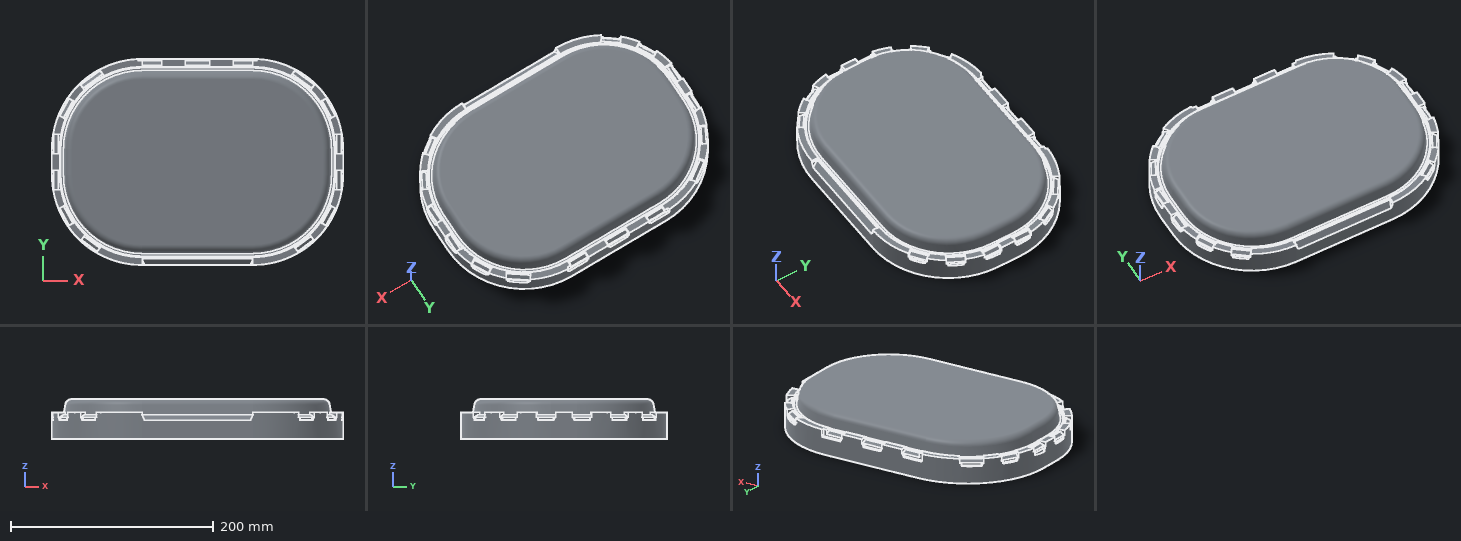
import cadquery as cq
import math

length = 288.0
width = 204.0
height = 39.7
rim_height = 26.5
corner_radius = 89.3
corner_x = length / 2 - corner_radius
corner_y = width / 2 - corner_radius

rim_width = 7.8
groove_floor = 24.2
channel_width = 1.2
channel_floor = 23.0
dome_inset = 11.5
dome_draft = 10.0
dome_edge_radius = 7.0

ramp_top = 24.2
ramp_inset = 6.3
notch_reach = rim_width + channel_width
step_depth = 2.0
step_end_taper = 1.2
step_plan_taper = 1.5
step_side_gap = 1.0
clearance = 5.8
standard_levels = (21.5, 19.0, 18.5)
low_shelf_levels = (22.5, 20.0, 17.3)
narrow_notch_width = 19.3
wide_notch_width = 24.0
low_corner_angle = 28.4
front_corner_angle = 53.3
back_corner_angle = 54.1
side_notch_y = 18.0
back_end_start = 35.5
back_end_step_stop = 59.5

front_recess_top_half = corner_x
front_recess_end_taper = 2.3
front_recess_bottom = 18.7


def rounded_prism(inset, bottom, depth, draft=0.0):
    """Rounded rectangle inset from the outer wall and extruded from the bottom level."""
    outline = cq.Sketch().rect(length - 2 * inset, width - 2 * inset)
    outline = outline.vertices().fillet(corner_radius - inset)
    return cq.Workplane("XY").workplane(offset=bottom).placeSketch(outline).extrude(depth, taper=draft)


def wall_profile(points, span):
    """Extrude an (outward, z) profile along the wall, centred on the local origin."""
    return cq.Workplane("XZ").polyline(points).close().extrude(span / 2, both=True)


def end_taper(bottom_half, bottom, top_half, top):
    """Block that widens from bottom to top along the wall, then rises straight."""
    roof = rim_height + clearance
    points = [
        (-bottom_half, bottom),
        (bottom_half, bottom),
        (top_half, top),
        (top_half, roof),
        (-top_half, roof),
        (-top_half, top),
    ]
    return cq.Workplane("YZ").polyline(points).close().extrude(rim_width + clearance, both=True)


def place_on_wall(cutter, x, y, angle):
    """Turn the local outward direction (+X) to the given angle and move to the wall."""
    return cutter.rotate((0, 0, 0), (0, 0, 1), angle).translate((x, y, 0))


def ramp_cutter(span, end_inset, end_level):
    """Cutter with a short flat lip at the groove, then a ramp falling outward to the end level."""
    roof = rim_height + clearance
    points = [
        (-notch_reach, roof),
        (-notch_reach, ramp_top),
        (-ramp_inset, ramp_top),
        (-end_inset, end_level),
        (clearance, end_level),
        (clearance, roof),
    ]
    return wall_profile(points, span)


def notch(span, step_span, step_shift=0.0, levels=standard_levels):
    """Rim notch cutter with its local origin on the outer wall and +X pointing outward."""
    ramp_bottom, step_top, step_bottom = levels
    roof = rim_height + clearance
    ramp = ramp_cutter(span, step_depth, ramp_bottom)
    step = wall_profile(
        [
            (-step_depth, roof),
            (-step_depth, step_top),
            (0, step_bottom),
            (clearance, step_bottom),
            (clearance, roof),
        ],
        step_span,
    )
    step_half = step_span / 2
    step = step.intersect(end_taper(step_half - step_end_taper, step_bottom, step_half, ramp_bottom))
    plan = [
        (-step_depth, step_half - step_plan_taper),
        (0, step_half),
        (clearance, step_half),
        (clearance, -step_half),
        (0, -step_half),
        (-step_depth, step_plan_taper - step_half),
    ]
    step = step.intersect(cq.Workplane("XY").polyline(plan).close().extrude(roof))
    return ramp.union(step.translate((0, step_shift, 0)))


def add_corner_notches(body):
    """Two notches per corner; the angle is measured from the X axis about the corner centre."""
    narrow = notch(narrow_notch_width, narrow_notch_width - 2 * step_side_gap)
    wide = notch(wide_notch_width, wide_notch_width - 2 * step_side_gap)
    placements = (
        (narrow, low_corner_angle, 1),
        (narrow, low_corner_angle, -1),
        (wide, back_corner_angle, 1),
        (narrow, front_corner_angle, -1),
    )
    for cutter, angle, side_y in placements:
        for side_x in (1, -1):
            out_x = side_x * math.cos(math.radians(angle))
            out_y = side_y * math.sin(math.radians(angle))
            x = side_x * corner_x + corner_radius * out_x
            y = side_y * corner_y + corner_radius * out_y
            heading = math.degrees(math.atan2(out_y, out_x))
            body = body.cut(place_on_wall(cutter, x, y, heading))
    return body


def add_side_notches(body):
    step_span = narrow_notch_width - 2 * step_side_gap
    for heading, x in ((0, length / 2), (180, -length / 2)):
        for y in (side_notch_y, -side_notch_y):
            levels = low_shelf_levels if x < 0 < y else standard_levels
            cutter = notch(narrow_notch_width, step_span, levels=levels)
            body = body.cut(place_on_wall(cutter, x, y, heading))
    return body


def add_back_notches(body):
    wall_y = width / 2
    middle = notch(wide_notch_width, wide_notch_width - 2 * step_side_gap)
    body = body.cut(place_on_wall(middle, 0, wall_y, 90))

    span = corner_x - back_end_start
    centre = (corner_x + back_end_start) / 2
    step_start = back_end_start + step_side_gap
    step_span = back_end_step_stop - step_start
    shift = (back_end_step_stop + step_start) / 2 - centre
    for side in (1, -1):
        cutter = notch(span, step_span, -side * shift)
        body = body.cut(place_on_wall(cutter, side * centre, wall_y, 90))
    return body


def add_front_recess(body):
    recess = ramp_cutter(2 * front_recess_top_half, 0, front_recess_bottom)
    bottom_half = front_recess_top_half - front_recess_end_taper
    ends = end_taper(bottom_half, front_recess_bottom, front_recess_top_half, ramp_top)
    return body.cut(place_on_wall(recess.intersect(ends), 0, -width / 2, -90))


rim = rounded_prism(0, 0, rim_height)
rim = rim.cut(rounded_prism(rim_width, groove_floor, rim_height - groove_floor))

channel_depth = groove_floor - channel_floor
channel = rounded_prism(rim_width, channel_floor, channel_depth)
channel = channel.cut(rounded_prism(rim_width + channel_width, channel_floor, channel_depth))
rim = rim.cut(channel)
rim = add_corner_notches(rim)
rim = add_side_notches(rim)
rim = add_back_notches(rim)
rim = add_front_recess(rim)

dome = rounded_prism(dome_inset, groove_floor, height - groove_floor, dome_draft)
dome = dome.faces(">Z").edges().fillet(dome_edge_radius)

result = rim.union(dome)